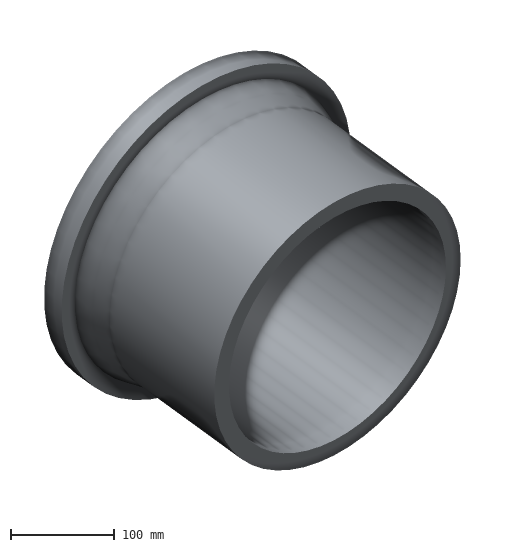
import cadquery as cq

total_length = 219.0
flange_diameter = 370.0
flange_thickness = 26.0

hub_diameter = 336.0
hub_end = 65.0

pipe_diameter = 315.2
bore_diameter = 277.5

flange_radius = flange_diameter / 2
hub_radius = hub_diameter / 2
pipe_radius = pipe_diameter / 2
bore_radius = bore_diameter / 2

half_section = (
    cq.Workplane("XY")
    .moveTo(0, bore_radius)
    .lineTo(0, flange_radius)
    .lineTo(flange_thickness, flange_radius)
    .lineTo(flange_thickness, hub_radius)
    .lineTo(hub_end, pipe_radius)
    .lineTo(total_length, pipe_radius)
    .lineTo(total_length, bore_radius)
    .close()
)

result = half_section.revolve(360, (0, 0, 0), (1, 0, 0))